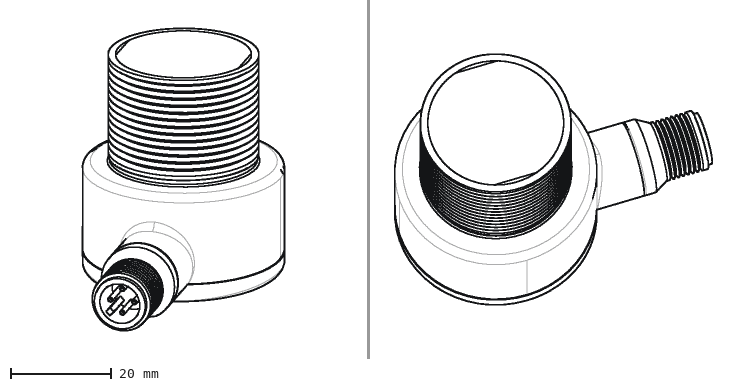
import cadquery as cq
DRUM_RADIUS = 20.09
DRUM_HEIGHT = 22.5
DRUM_EDGE_RADIUS = 1.5
FRONT_EDGE_RADIUS = 0.05

SEAM_HEIGHT = 3.75
SEAM_WIDTH = 0.2
SEAM_DEPTH = 0.1

TOTAL_HEIGHT = 45.0
NECK_RADIUS = 14.75
NECK_TOP = 23.8
NECK_FILLET = 0.4

BARREL_CREST_RADIUS = 15.0
BARREL_ROOT_RADIUS = 13.8
BARREL_PITCH = 1.5
BARREL_FIRST_ROOT = 25.4
BARREL_GROOVE_COUNT = 13

FACE_RADIUS = 13.5
FACE_HALF_WIDTH = 12.75
FACE_DEPTH = 5.0

AXIS_HEIGHT = 7.55
BOSS_RADIUS = 7.6
BOSS_END = 28.55
FLARE_TOP_RADIUS = 1.5
FLARE_END_RADIUS = 0.05

CONNECTOR_END = 43.47
COLLAR_ROUNDING = 0.35
COLLAR_FLAT_HEIGHT = 0.95
CONE_START = 31.1
CONE_END = 33.8
PLUG_CREST_RADIUS = 6.05
PLUG_ROOT_RADIUS = 5.4
PLUG_PITCH = 1.0
PLUG_FIRST_ROOT = 34.9
PLUG_GROOVE_COUNT = 7
PLUG_THREAD_END = 42.45
TIP_RADIUS = 5.28
SOCKET_RADIUS = 4.15
SOCKET_DEPTH = 8.5
PIN_RADIUS = 0.5
PIN_CIRCLE_RADIUS = 2.5
PIN_RECESS = 1.5
PIN_COUNT = 4
PIN_CHAMFER = 0.2
KEY_WIDTH = 1.15
KEY_INNER_RADIUS = 2.9
KEY_RECESS = 1.5
KEY_ANGLE = 225

ROOT_FLAT = 0.08
CREST_FLAT = 0.08


def cylinder(radius, bottom, top):
    """Cylinder around Z between two heights."""
    return cq.Workplane().workplane(offset=bottom).circle(radius).extrude(top - bottom)


def along_connector(shape):
    """Lay a shape built around Z onto the connector axis, with its +Z pointing to -Y."""
    return shape.rotate((0, 0, 0), (1, 0, 0), 90).translate((0, 0, AXIS_HEIGHT))


def tapered_fillet(solid, edge, first_radius, last_radius):
    """Round one edge with a radius that changes along its length."""
    builder = cq.occ_impl.shapes.BRepFilletAPI_MakeFillet(solid.wrapped)
    builder.Add(first_radius, last_radius, edge.wrapped)
    return cq.Workplane(cq.Shape.cast(builder.Shape()))


def threaded_rod(crest_radius, root_radius, pitch, bottom, top, first_root, groove_count):
    """Rod around Z with evenly spaced V-shaped thread grooves."""
    half_root = ROOT_FLAT * pitch / 2
    half_mouth = (1 - CREST_FLAT) * pitch / 2
    outline = cq.Workplane("XZ").moveTo(0, bottom).lineTo(crest_radius, bottom)
    for index in range(groove_count):
        root = first_root + index * pitch
        outline = (
            outline.lineTo(crest_radius, root - half_mouth)
            .lineTo(root_radius, root - half_root)
            .lineTo(root_radius, root + half_root)
            .lineTo(crest_radius, root + half_mouth)
        )
    outline = outline.lineTo(crest_radius, top).lineTo(0, top).close()
    return outline.revolve(360, (0, 0, 0), (0, 1, 0))


def make_drum():
    """Drum whose lower edge is fully rounded at the back and runs out to sharp at the front."""
    quarter = (
        cq.Workplane("XZ")
        .rect(DRUM_RADIUS, DRUM_HEIGHT, centered=False)
        .revolve(90, (0, 0, 0), (0, 1, 0))
    )
    back = quarter.faces("<Z").edges("%CIRCLE").fillet(DRUM_EDGE_RADIUS)
    front = quarter.mirror("XZ")
    front_edge = front.faces("<Z").edges("%CIRCLE").val()
    front = tapered_fillet(front.val(), front_edge, DRUM_EDGE_RADIUS, FRONT_EDGE_RADIUS)
    half = back.union(front)
    drum = half.union(half.mirror("YZ"))
    drum = drum.faces(">Z").edges().fillet(DRUM_EDGE_RADIUS)
    seam = cylinder(2 * DRUM_RADIUS, SEAM_HEIGHT - SEAM_WIDTH / 2, SEAM_HEIGHT + SEAM_WIDTH / 2)
    seam = seam.cut(cylinder(DRUM_RADIUS - SEAM_DEPTH, 0, DRUM_HEIGHT))
    return drum.cut(seam)


def make_boss():
    """Side boss with a level underside and a flare that runs out at the groove."""
    boss = along_connector(cylinder(BOSS_RADIUS, 0, BOSS_END))
    above_base = cq.Workplane().box(
        4 * DRUM_RADIUS, 4 * DRUM_RADIUS, TOTAL_HEIGHT, centered=(True, True, False)
    )
    boss = boss.intersect(above_base)

    flare_zone = (
        cq.Workplane()
        .workplane(offset=SEAM_HEIGHT)
        .rect(2 * DRUM_RADIUS, -2 * DRUM_RADIUS, centered=False)
        .extrude(DRUM_HEIGHT - DRUM_EDGE_RADIUS - SEAM_HEIGHT)
    )
    half = cylinder(DRUM_RADIUS, 0, DRUM_HEIGHT).union(boss).intersect(flare_zone)
    probe = (BOSS_RADIUS, -DRUM_RADIUS, AXIS_HEIGHT)
    meeting_edge = half.edges(cq.selectors.NearestToPointSelector(probe)).val()
    half = tapered_fillet(half.val(), meeting_edge, FLARE_TOP_RADIUS, FLARE_END_RADIUS)
    return boss.union(half).union(half.mirror("YZ"))


def make_neck():
    """Neck between the drum and the barrel, flared at its foot."""
    neck = cylinder(NECK_RADIUS, DRUM_HEIGHT, NECK_TOP)
    foot = (
        cq.Workplane("XZ")
        .moveTo(0, DRUM_HEIGHT)
        .lineTo(NECK_RADIUS + NECK_FILLET, DRUM_HEIGHT)
        .lineTo(NECK_RADIUS, DRUM_HEIGHT + NECK_FILLET)
        .lineTo(0, DRUM_HEIGHT + NECK_FILLET)
        .close()
        .revolve(360, (0, 0, 0), (0, 1, 0))
    )
    return neck.union(foot)


def make_barrel():
    """Threaded barrel with the bore for the sensing face."""
    barrel = threaded_rod(
        BARREL_CREST_RADIUS,
        BARREL_ROOT_RADIUS,
        BARREL_PITCH,
        NECK_TOP,
        TOTAL_HEIGHT,
        BARREL_FIRST_ROOT,
        BARREL_GROOVE_COUNT,
    )
    return barrel.cut(cylinder(FACE_RADIUS, TOTAL_HEIGHT - FACE_DEPTH, TOTAL_HEIGHT))


def make_housing():
    """Drum, boss, neck and barrel in one piece."""
    return make_drum().union(make_boss()).union(make_neck()).union(make_barrel())


def make_sensing_face():
    """Round insert with two flats, flush with the top of the barrel."""
    disc = cylinder(FACE_RADIUS, TOTAL_HEIGHT - FACE_DEPTH, TOTAL_HEIGHT)
    between_flats = cq.Workplane().box(
        2 * FACE_HALF_WIDTH, 2 * FACE_RADIUS, TOTAL_HEIGHT, centered=(True, True, False)
    )
    return disc.intersect(between_flats)


def make_connector():
    """Collar, cone, threaded plug and socket with its pins and key."""
    collar = cylinder(BOSS_RADIUS, BOSS_END, CONE_START).faces("<Z").edges().fillet(COLLAR_ROUNDING)
    cone = (
        cq.Workplane("XZ")
        .moveTo(0, CONE_START)
        .lineTo(BOSS_RADIUS, CONE_START)
        .lineTo(PLUG_CREST_RADIUS, CONE_END)
        .lineTo(0, CONE_END)
        .close()
        .revolve(360, (0, 0, 0), (0, 1, 0))
    )
    flat_offset = AXIS_HEIGHT - COLLAR_FLAT_HEIGHT
    above_flat = (
        cq.Workplane()
        .box(4 * BOSS_RADIUS, 4 * BOSS_RADIUS, 2 * CONNECTOR_END)
        .translate((0, 2 * BOSS_RADIUS - flat_offset, CONNECTOR_END))
    )
    body = collar.union(cone).intersect(above_flat)
    plug = threaded_rod(
        PLUG_CREST_RADIUS,
        PLUG_ROOT_RADIUS,
        PLUG_PITCH,
        CONE_END,
        PLUG_THREAD_END,
        PLUG_FIRST_ROOT,
        PLUG_GROOVE_COUNT,
    )
    body = body.union(plug).union(cylinder(TIP_RADIUS, PLUG_THREAD_END, CONNECTOR_END))

    socket_floor = CONNECTOR_END - SOCKET_DEPTH
    body = body.cut(cylinder(SOCKET_RADIUS, socket_floor, CONNECTOR_END))
    pins = (
        cq.Workplane()
        .workplane(offset=socket_floor)
        .polarArray(PIN_CIRCLE_RADIUS, 0, 360, PIN_COUNT)
        .circle(PIN_RADIUS)
        .extrude(SOCKET_DEPTH - PIN_RECESS)
        .faces(">Z")
        .edges()
        .chamfer(PIN_CHAMFER)
    )
    key_outer_radius = (SOCKET_RADIUS + TIP_RADIUS) / 2
    key = (
        cq.Workplane()
        .box(
            key_outer_radius - KEY_INNER_RADIUS,
            KEY_WIDTH,
            SOCKET_DEPTH - KEY_RECESS,
            centered=(False, True, False),
        )
        .translate((KEY_INNER_RADIUS, 0, socket_floor))
        .rotate((0, 0, 0), (0, 0, 1), KEY_ANGLE)
    )
    return along_connector(body.union(pins).union(key))


housing = make_housing()
sensing_face = make_sensing_face()
connector = make_connector()

result = cq.Compound.makeCompound([housing.val(), sensing_face.val(), connector.val()])